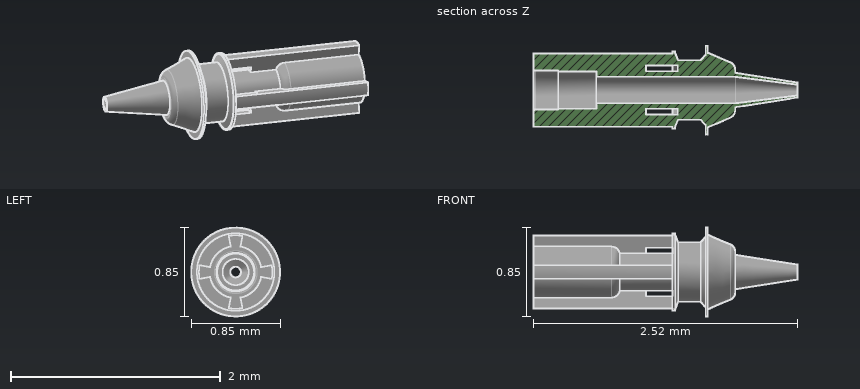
import cadquery as cq
import math

length = 2.52
x_mouth = -length / 2
x_tip = length / 2
x_shell_round = x_mouth + 0.742
x_window = x_mouth + 1.075
x_window_end = x_window + 0.3
x_collar = x_mouth + 1.325
x_neck_start = x_mouth + 1.38
x_neck_end = x_mouth + 1.594
x_flange = x_mouth + 1.643
x_head_round = x_mouth + 1.878
x_head_end = x_mouth + 1.925

collar_thickness = 0.025
flange_thickness = 0.021

shell_radius = 0.248
shell_end_round = 0.083
tube_radius = 0.36 / 2
collar_radius = 0.74 / 2
collar_cone_radius = 0.36
neck_radius = 0.57 / 2
flange_cone_radius = 0.34
flange_radius = 0.85 / 2
head_radius = 0.357
head_front_radius = 0.265
tail_radius = 0.166
tip_radius = 0.0725

rib_count = 4
rib_radius = 0.35
rib_half_angle = math.radians(10.8)
window_radius = 0.47 / 2

mouth_round = 0.018
mouth_bore_radius = 0.37 / 2
mouth_bore_depth = 0.235
inner_bore_radius = 0.176
inner_bore_depth = 0.60
rear_bore_radius = 0.25 / 2
tip_hole_radius = 0.05


def revolve_about_x(profile):
    """Revolve a closed half profile, drawn as (x, radius), about the X axis."""
    return profile.close().revolve(360, (0, 0, 0), (1, 0, 0))


def make_shell_and_tube():
    """Front sleeve with a rounded rear end, running on into the thinner tube."""
    round_centre_radius = shell_radius - shell_end_round
    end_angle = math.asin((tube_radius - round_centre_radius) / shell_end_round)
    mid_angle = (end_angle + math.pi / 2) / 2

    def on_round(angle):
        return (
            x_shell_round + shell_end_round * math.cos(angle),
            round_centre_radius + shell_end_round * math.sin(angle),
        )

    profile = (
        cq.Workplane("XY")
        .moveTo(x_mouth, 0)
        .lineTo(x_mouth, shell_radius)
        .lineTo(x_shell_round, shell_radius)
        .threePointArc(on_round(mid_angle), on_round(end_angle))
        .lineTo(x_window_end, tube_radius)
        .lineTo(x_window_end, 0)
    )
    return revolve_about_x(profile)


def make_collar_head_and_tail():
    """Collar, neck, flange, tapered head with a rounded nose, and tapered tail."""
    x_collar_back = x_collar + collar_thickness
    x_flange_back = x_flange + flange_thickness
    head_taper = math.atan2(head_radius - head_front_radius, x_head_round - x_flange_back)
    nose_round = (x_head_end - x_head_round) / (1 - math.sin(head_taper))
    head_end_radius = head_front_radius - nose_round * math.cos(head_taper)
    profile = (
        cq.Workplane("XY")
        .moveTo(x_collar, 0)
        .lineTo(x_collar, collar_radius)
        .lineTo(x_collar_back, collar_radius)
        .lineTo(x_collar_back, collar_cone_radius)
        .lineTo(x_neck_start, neck_radius)
        .lineTo(x_neck_end, neck_radius)
        .lineTo(x_flange, flange_cone_radius)
        .lineTo(x_flange, flange_radius)
        .lineTo(x_flange_back, flange_radius)
        .lineTo(x_flange_back, head_radius)
        .lineTo(x_head_round, head_front_radius)
        .tangentArcPoint((x_head_end, head_end_radius), relative=False)
        .lineTo(x_head_end, tail_radius)
        .lineTo(x_tip, tip_radius)
        .lineTo(x_tip, 0)
    )
    return revolve_about_x(profile)


def make_rib():
    """One rib with radial flanks and a rounded crown."""
    crown_y = rib_radius * math.sin(rib_half_angle)
    crown_z = rib_radius * math.cos(rib_half_angle)
    return (
        cq.Workplane("YZ", origin=(x_mouth, 0, 0))
        .moveTo(0, 0)
        .lineTo(-crown_y, crown_z)
        .threePointArc((0, rib_radius), (crown_y, crown_z))
        .close()
        .extrude(x_collar - x_mouth)
    )


def make_undercut():
    """Round clearance under the ribs and into the collar face, wider than the tube."""
    return (
        cq.Workplane("YZ", origin=(x_window, 0, 0))
        .circle(window_radius)
        .extrude(x_window_end - x_window)
    )


def make_bore():
    """Round-edged mouth, stepped bore, and a taper through the tail to the tip."""
    mouth_radius = mouth_bore_radius + mouth_round
    arc_offset = mouth_round * (1 - math.sqrt(0.5))
    x_step = x_mouth + mouth_bore_depth
    x_floor = x_mouth + inner_bore_depth
    profile = (
        cq.Workplane("XY")
        .moveTo(x_mouth, 0)
        .lineTo(x_mouth, mouth_radius)
        .threePointArc(
            (x_mouth + arc_offset, mouth_bore_radius + arc_offset),
            (x_mouth + mouth_round, mouth_bore_radius),
        )
        .lineTo(x_step, mouth_bore_radius)
        .lineTo(x_step, inner_bore_radius)
        .lineTo(x_floor, inner_bore_radius)
        .lineTo(x_floor, rear_bore_radius)
        .lineTo(x_head_end, rear_bore_radius)
        .lineTo(x_tip, tip_hole_radius)
        .lineTo(x_tip, 0)
    )
    return revolve_about_x(profile)


body = make_collar_head_and_tail()
for index in range(rib_count):
    rib_angle = index * 360 / rib_count
    body = body.union(make_rib().rotate((0, 0, 0), (1, 0, 0), rib_angle))

result = body.cut(make_undercut()).union(make_shell_and_tube()).cut(make_bore())